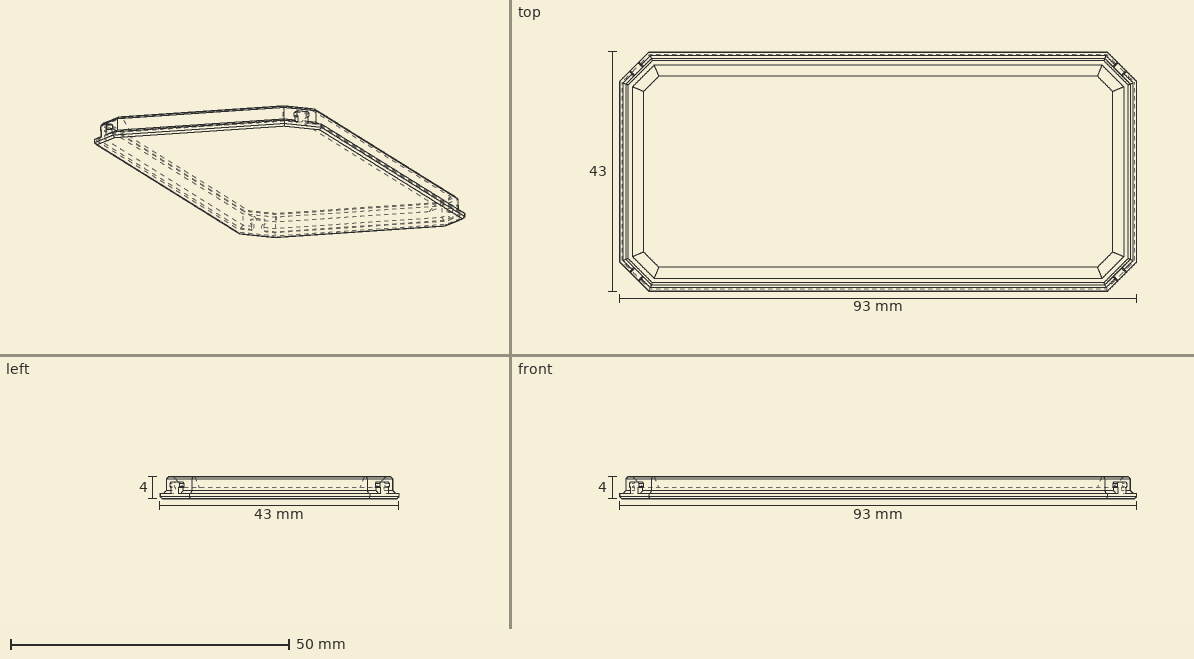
import cadquery as cq
import math

length = 93.0
width = 43.0
height = 4.0
corner_cut = 5.27

flange_bevel = 0.4
flange_top = 1.0

wall_inset = 1.14
foot_bevel = 0.5
rim_bevel = 0.4
foot_inset = wall_inset - foot_bevel
rim_inset = wall_inset + rim_bevel
wall_bottom = flange_top + foot_bevel
wall_top = height - rim_bevel

recess_inset = 2.33
recess_depth = 2.0
recess_floor_inset = recess_inset + recess_depth

clip_top = 3.0
clip_neck = 2.0
clip_stem_width = 2.0
clip_head_overhang = 0.2


def outline_at(inset):
    """Corner points of the cut-corner rectangle, moved inwards by inset."""
    x = length / 2 - inset
    y = width / 2 - inset
    cut = corner_cut - inset * (2 - math.sqrt(2))
    return [
        (x, y - cut),
        (x - cut, y),
        (cut - x, y),
        (-x, y - cut),
        (-x, cut - y),
        (cut - x, -y),
        (x - cut, -y),
        (x, cut - y),
    ]


def band(z_low, inset_low, z_high, inset_high):
    """Solid between two outlines, sloped where their insets differ."""
    return (
        cq.Workplane("XY", origin=(0, 0, z_low))
        .polyline(outline_at(inset_low))
        .close()
        .workplane(offset=z_high - z_low)
        .polyline(outline_at(inset_high))
        .close()
        .loft(ruled=True)
    )


def make_body():
    body = band(0, flange_bevel, flange_bevel, 0)
    body = body.union(band(flange_bevel, 0, flange_top, 0))
    body = body.union(band(flange_top, foot_inset, wall_bottom, wall_inset))
    body = body.union(band(wall_bottom, wall_inset, wall_top, wall_inset))
    return body.union(band(wall_top, wall_inset, height, rim_inset))


def make_recess():
    return band(height - recess_depth, recess_floor_inset, height, recess_inset)


def make_clip(x_side, y_side):
    """Clip standing on the flange at one cut corner, flush with the flange edge."""
    stem = clip_stem_width / 2
    head = stem + clip_head_overhang
    right_side = [
        (stem, flange_bevel),
        (stem, clip_neck),
        (head, clip_neck + clip_head_overhang),
        (head, clip_top - clip_head_overhang),
        (stem, clip_top),
    ]
    left_side = [(-across, z) for across, z in reversed(right_side)]
    corner_face = cq.Plane(
        origin=(x_side * (length - corner_cut) / 2, y_side * (width - corner_cut) / 2, 0),
        xDir=(-y_side, x_side, 0),
        normal=(x_side, y_side, 0),
    )
    return cq.Workplane(corner_face).polyline(right_side + left_side).close().extrude(-rim_inset)


result = make_body().cut(make_recess())
for x_side in (-1, 1):
    for y_side in (-1, 1):
        result = result.union(make_clip(x_side, y_side))